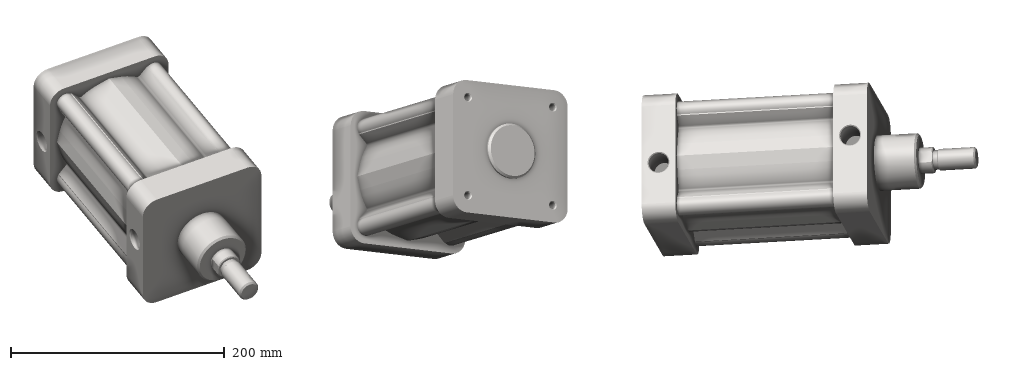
import cadquery as cq
import math


rear_boss_length = 4.0
cap_length = 32.0
barrel_length = 150.0
front_boss_length = 39.8
collar_length = 1.0
flats_length = 12.0
neck_length = 4.0
overall_length = 311.0

cap_width = 126.0
cap_corner_radius = 15.0
boss_diameter = 52.0
boss_chamfer = 2.0

port_diameter = 19.0
port_mouth_diameter = 20.8
port_depth = 31.0
port_offset = 8.0

bolt_offset = 46.5
bolt_hole_diameter = 6.5
bolt_mouth_diameter = 8.5
bolt_hole_depth = 15.5

body_radius = 54.0
ridge_half_width = 12.8
lobe_radius = 9.0
web_width = 19.3
web_fillet = 2.5
web_step_reach = 53.8
quarter_turns = (0, 90, 180, 270)
edge_tolerance = 0.03

rod_diameter = 24.5
flats_across = 22.0
rod_edge_chamfer = 1.0
neck_diameter = 18.5
thread_diameter = 20.2
thread_chamfer = 1.5
thread_start_chamfer = (thread_diameter - neck_diameter) / 2

rear_cap_start = rear_boss_length
barrel_start = rear_cap_start + cap_length
front_cap_start = barrel_start + barrel_length
front_boss_start = front_cap_start + cap_length
rod_start = front_boss_start + front_boss_length
flats_start = rod_start + collar_length
neck_start = flats_start + flats_length
thread_start = neck_start + neck_length


def section_plane(x):
    """Plane across the axis: local x is +Y, local y is +Z, and it extrudes toward +X."""
    return cq.Workplane("YZ", origin=(x, 0, 0))


def cap_block(start):
    block = section_plane(start).rect(cap_width, cap_width).extrude(cap_length)
    return block.edges("|X").fillet(cap_corner_radius)


def chamfered_hole(diameter, mouth_diameter, depth):
    """Cutter that runs from the origin toward +Z and is widened at its mouth by a 45 degree chamfer."""
    radius = diameter / 2
    mouth_radius = mouth_diameter / 2
    outline = [
        (0, 0),
        (mouth_radius, 0),
        (radius, mouth_radius - radius),
        (radius, depth),
        (0, depth),
    ]
    return cq.Workplane("XZ").polyline(outline).close().revolve(360, (0, 0), (0, 1))


def port_cutter(cap_start, height):
    cutter = chamfered_hole(port_diameter, port_mouth_diameter, port_depth)
    cutter = cutter.rotate((0, 0, 0), (1, 0, 0), -90)
    return cutter.translate((cap_start + cap_length / 2, -cap_width / 2, height))


def bolt_cutter(y, z):
    cutter = chamfered_hole(bolt_hole_diameter, bolt_mouth_diameter, bolt_hole_depth)
    cutter = cutter.rotate((0, 0, 0), (0, 1, 0), 90)
    return cutter.translate((rear_cap_start, y, z))


def make_rear_cap():
    boss = section_plane(0).circle(boss_diameter / 2).extrude(rear_boss_length)
    boss = boss.faces("<X").chamfer(boss_chamfer)
    cap = cap_block(rear_cap_start).union(boss)
    cap = cap.cut(port_cutter(rear_cap_start, -port_offset))
    for y in (-bolt_offset, bolt_offset):
        for z in (-bolt_offset, bolt_offset):
            cap = cap.cut(bolt_cutter(y, z))
    return cap


def make_front_cap():
    boss = section_plane(front_boss_start).circle(boss_diameter / 2).extrude(front_boss_length)
    boss = boss.faces(">X").chamfer(boss_chamfer)
    cap = cap_block(front_cap_start).union(boss)
    return cap.cut(port_cutter(front_cap_start, port_offset))


def barrel_ridge():
    """Low ridge on the +Z side whose flanks are tangent to the round body."""
    shoulder_height = math.sqrt(body_radius**2 - ridge_half_width**2)
    crest_height = body_radius**2 / shoulder_height
    outline = [
        (0, 0),
        (ridge_half_width, shoulder_height),
        (0, crest_height),
        (-ridge_half_width, shoulder_height),
    ]
    return section_plane(barrel_start).polyline(outline).close().extrude(barrel_length)


def barrel_web():
    """Diagonal web toward +Y +Z; its flanks end in small steps down to the lobe."""
    flank_shift = web_width / math.sqrt(2)
    step_start = web_step_reach - flank_shift
    outline = [
        (flank_shift / 2, -flank_shift / 2),
        (web_step_reach, step_start),
        (web_step_reach, bolt_offset),
        (bolt_offset, web_step_reach),
        (step_start, web_step_reach),
        (-flank_shift / 2, flank_shift / 2),
    ]
    return section_plane(barrel_start).polyline(outline).close().extrude(barrel_length)


def barrel_lobe():
    lobe = section_plane(barrel_start).center(bolt_offset, bolt_offset)
    return lobe.circle(lobe_radius).extrude(barrel_length)


def is_web_corner(edge):
    """True for an edge where the flank of a web meets the round body."""
    middle = edge.Center()
    on_body = math.isclose(math.hypot(middle.y, middle.z), body_radius, abs_tol=edge_tolerance)
    near_diagonal = abs(abs(middle.y) - abs(middle.z)) < web_width
    return on_body and near_diagonal


def make_barrel():
    barrel = section_plane(barrel_start).circle(body_radius).extrude(barrel_length)
    for angle in quarter_turns:
        for shape in (barrel_ridge(), barrel_web()):
            barrel = barrel.union(shape.rotate((0, 0, 0), (1, 0, 0), angle))

    corner_edges = [edge for edge in barrel.edges("|X").vals() if is_web_corner(edge)]
    barrel = barrel.newObject(corner_edges).fillet(web_fillet)

    for angle in quarter_turns:
        barrel = barrel.union(barrel_lobe().rotate((0, 0, 0), (1, 0, 0), angle))
    return barrel


def make_piston_rod():
    shank = section_plane(rod_start).circle(rod_diameter / 2).extrude(neck_start - rod_start)
    shank = shank.faces(">X").chamfer(rod_edge_chamfer)
    flats_slab = cq.Workplane("XY").box(flats_length, flats_across, rod_diameter)
    flats_ring = cq.Workplane("XY").box(flats_length, 2 * rod_diameter, 2 * rod_diameter).cut(flats_slab)
    shank = shank.cut(flats_ring.translate((flats_start + flats_length / 2, 0, 0)))

    neck = section_plane(neck_start).circle(neck_diameter / 2).extrude(neck_length)
    thread = section_plane(thread_start).circle(thread_diameter / 2)
    thread = thread.extrude(overall_length - thread_start)
    thread = thread.faces("<X").chamfer(thread_start_chamfer)
    thread = thread.faces(">X").chamfer(thread_chamfer)
    return shank.union(neck).union(thread)


rear_cap = make_rear_cap()
barrel = make_barrel()
front_cap = make_front_cap()
piston_rod = make_piston_rod()

result = cq.Compound.makeCompound(
    [rear_cap.val(), barrel.val(), front_cap.val(), piston_rod.val()]
)